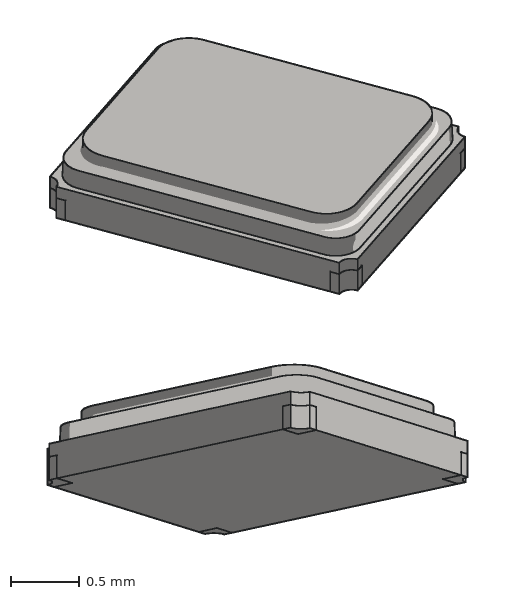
import cadquery as cq

length = 2.5
width = 2.0
total_height = 0.545

base_height = 0.275
notch_radius = 0.1

terminal_size = 0.175
terminal_height = 0.175

flange_inset = 0.05
flange_height = 0.15
flange_corner_radius = 0.2
flange_taper = 3.0

cap_inset = 0.15
cap_corner_radius = 0.25
cap_fillet_radius = 0.05
cap_height = total_height - base_height - flange_height

selection_margin = 0.002

CORNERS = [(-1, -1), (1, -1), (1, 1), (-1, 1)]


def rounded_block(inset, corner_radius, z_bottom, height, taper=0.0):
    """Rounded rectangle set in from the outer edges of the base and extruded upward."""
    outline = cq.Sketch().rect(length - 2 * inset, width - 2 * inset).vertices().fillet(corner_radius)
    return cq.Workplane("XY").workplane(offset=z_bottom).placeSketch(outline).extrude(height, taper=taper)


def corner_notches():
    """Vertical cylinders on the four corners of the base."""
    points = [(sx * length / 2, sy * width / 2) for sx, sy in CORNERS]
    return cq.Workplane("XY").pushPoints(points).circle(notch_radius).extrude(base_height)


def terminal_block(sx, sy):
    """Square block filling one lower corner, before the notch is cut."""
    center_x = sx * (length - terminal_size) / 2
    center_y = sy * (width - terminal_size) / 2
    footprint = cq.Workplane("XY").center(center_x, center_y).rect(terminal_size, terminal_size)
    return footprint.extrude(terminal_height)


def make_base():
    """Rectangular base with notched corners and recesses for the terminals."""
    base = cq.Workplane("XY").rect(length, width).extrude(base_height).cut(corner_notches())
    for sx, sy in CORNERS:
        base = base.cut(terminal_block(sx, sy))
    return base


def make_terminal(sx, sy):
    """Corner terminal that carries the lower part of the notch."""
    return terminal_block(sx, sy).cut(corner_notches())


def make_lid():
    """Tapered flange and raised cap joined by a concave fillet."""
    flange_top = base_height + flange_height
    flange = rounded_block(flange_inset, flange_corner_radius, base_height, flange_height, flange_taper)
    cap = rounded_block(cap_inset, cap_corner_radius, flange_top, cap_height)
    foot_x = length / 2 - cap_inset + selection_margin
    foot_y = width / 2 - cap_inset + selection_margin
    cap_foot = cq.selectors.BoxSelector(
        (-foot_x, -foot_y, flange_top - selection_margin),
        (foot_x, foot_y, flange_top + selection_margin),
        boundingbox=True,
    )
    return flange.union(cap).edges(cap_foot).fillet(cap_fillet_radius)


base = make_base()
lid = make_lid()
terminals = [make_terminal(sx, sy) for sx, sy in CORNERS]

result = cq.Compound.makeCompound([base.val(), lid.val(), *[terminal.val() for terminal in terminals]])